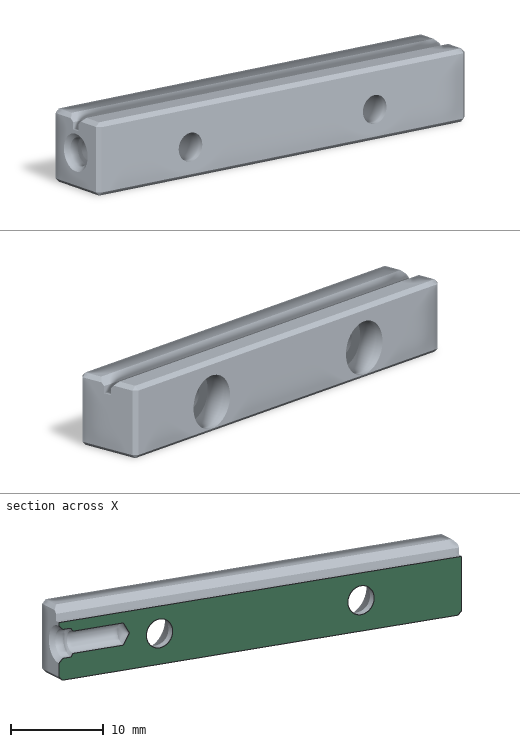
import cadquery as cq
import math

length = 50.0
width = 8.0
height = 8.2
edge_chamfer = 0.45

groove_width = 1.0
groove_depth = 1.6
groove_mouth_chamfer = 0.8

cross_hole_diameter = 3.2
counterbore_diameter = 6.0
counterbore_depth = 3.2
cross_hole_spacing = 25.0
cross_hole_height = 3.5

end_countersink_diameter = 4.2
end_bore_diameter = 3.2
end_bore_depth = 1.5
end_pilot_diameter = 2.45
end_pilot_depth = 8.0
end_countersink_angle = 90.0
drill_point_angle = 118.0
end_hole_height = height / 2


def make_block():
    block = cq.Workplane("XY").box(width, length, height, centered=(True, True, False))
    return block.edges().chamfer(edge_chamfer)


def make_groove_cutter():
    half_width = groove_width / 2
    half_mouth = half_width + groove_mouth_chamfer
    floor = height - groove_depth
    profile = [
        (-half_mouth, height),
        (-half_width, height - groove_mouth_chamfer),
        (-half_width, floor),
        (half_width, floor),
        (half_width, height - groove_mouth_chamfer),
        (half_mouth, height),
    ]
    return cq.Workplane("XZ").polyline(profile).close().extrude(length / 2, both=True)


def make_cross_hole_cutter(y):
    side = cq.Workplane("YZ", origin=(-width / 2, y, cross_hole_height))
    through_hole = side.circle(cross_hole_diameter / 2).extrude(width)
    counterbore = side.circle(counterbore_diameter / 2).extrude(counterbore_depth)
    return through_hole.union(counterbore)


def make_end_hole_cutter():
    mouth_radius = end_countersink_diameter / 2
    bore_radius = end_bore_diameter / 2
    pilot_radius = end_pilot_diameter / 2
    countersink_depth = (mouth_radius - bore_radius) / math.tan(math.radians(end_countersink_angle / 2))
    point_slope = 1 / math.tan(math.radians(drill_point_angle / 2))
    step_depth = (bore_radius - pilot_radius) * point_slope
    point_depth = pilot_radius * point_slope
    profile = [
        (0, 0),
        (mouth_radius, 0),
        (bore_radius, countersink_depth),
        (bore_radius, end_bore_depth),
        (pilot_radius, end_bore_depth + step_depth),
        (pilot_radius, end_pilot_depth),
        (0, end_pilot_depth + point_depth),
    ]
    cutter = cq.Workplane("XY").polyline(profile).close().revolve(360, (0, 0), (0, 1))
    return cutter.translate((0, -length / 2, end_hole_height))


result = make_block().cut(make_groove_cutter())
for hole_y in (-cross_hole_spacing / 2, cross_hole_spacing / 2):
    result = result.cut(make_cross_hole_cutter(hole_y))
result = result.cut(make_end_hole_cutter())